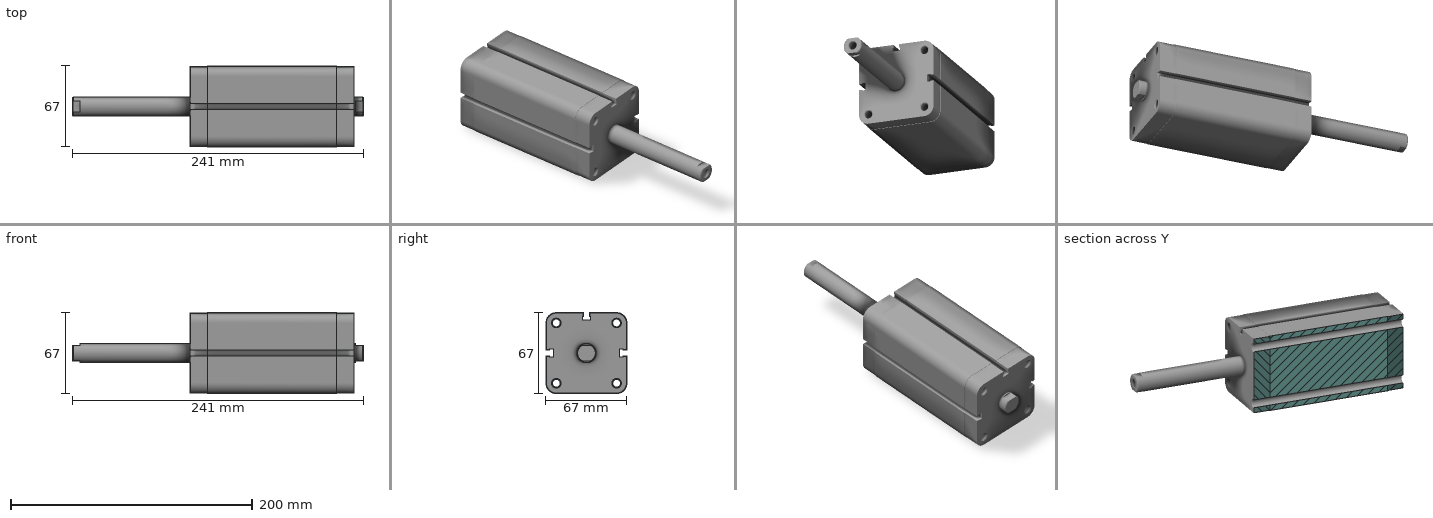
import cadquery as cq

tube_length = 107.0
tube_side = 67.0
cap_length = 14.5
cap_side = 66.4
bolt_spacing = 50.0
bolt_hole_diameter = 6.6
bolt_chamfer = 0.6

slot_mouth_width = 5.2
slot_floor_width = 6.4
slot_floor_from_axis = 27.5
slot_neck_from_axis = 30.5
slot_angles = (-90, 0, 90)

rod_diameter = 16.0
rod_front_reach = 97.4
rod_rear_reach = 7.6
flat_spacing = 13.0
flat_length_front = 6.0
flat_length_rear = 6.5
rod_chamfer = 0.6
thread_diameter = 6.8
thread_mouth_diameter = 8.0
thread_depth = 20.0
drill_tip_length = 1.7

tube_start = -tube_length / 2
tube_end = tube_length / 2
front_face = tube_start - cap_length
rear_face = tube_end + cap_length
rod_start = front_face - rod_front_reach
rod_end = rear_face + rod_rear_reach


def yz_plane(x):
    return cq.Workplane("YZ", origin=(x, 0, 0))


def slot_cutter(x, length):
    """T-shaped bar that cuts one slot opening toward +Z."""
    foot_height = slot_neck_from_axis - slot_floor_from_axis
    floor = cq.Workplane("XY", origin=(x + length / 2, 0, slot_floor_from_axis))
    foot = floor.box(length, slot_floor_width, foot_height, centered=(True, True, False))
    neck = floor.box(length, slot_mouth_width, tube_side / 2, centered=(True, True, False))
    return foot.union(neck)


def profile_block(x, length, side):
    """Rounded square bar with bolt holes, rod bore and three T-slots."""
    corner_radius = (side - bolt_spacing) / 2
    block = yz_plane(x).rect(side, side).extrude(length).edges("|X").fillet(corner_radius)
    bolt_holes = (
        yz_plane(x)
        .rect(bolt_spacing, bolt_spacing, forConstruction=True)
        .vertices()
        .circle(bolt_hole_diameter / 2)
        .extrude(length)
    )
    rod_bore = yz_plane(x).circle(rod_diameter / 2).extrude(length)
    block = block.cut(bolt_holes).cut(rod_bore)
    for angle in slot_angles:
        block = block.cut(slot_cutter(x, length).rotate((0, 0, 0), (1, 0, 0), angle))
    return block


def end_cap(x, outer_face):
    """Profile block whose bolt holes are chamfered on the outer face."""
    cap = profile_block(x, cap_length, cap_side)
    bolt_rims = cap.faces(outer_face).edges(cq.selectors.RadiusNthSelector(0))
    return cap.newObject(bolt_rims.vals()).chamfer(bolt_chamfer)


def rod_flats(x, length):
    """Pair of cutters that leave wrench flats facing +Z and -Z."""
    blank = yz_plane(x).rect(2 * rod_diameter, 2 * rod_diameter).extrude(length)
    kept = yz_plane(x).rect(2 * rod_diameter, flat_spacing).extrude(length)
    return blank.cut(kept)


def piston_rod():
    rod = yz_plane(rod_start).circle(rod_diameter / 2).extrude(rod_end - rod_start)
    rod = rod.faces("<X or >X").chamfer(rod_chamfer)
    rod = rod.cut(rod_flats(rod_start, flat_length_front))
    rod = rod.cut(rod_flats(rod_end - flat_length_rear, flat_length_rear))
    thread_hole = (
        cq.Workplane("XY", origin=(rod_start, 0, 0))
        .polyline([
            (0, 0),
            (0, thread_mouth_diameter / 2),
            ((thread_mouth_diameter - thread_diameter) / 2, thread_diameter / 2),
            (thread_depth, thread_diameter / 2),
            (thread_depth + drill_tip_length, 0),
        ])
        .close()
        .revolve(360, (0, 0, 0), (1, 0, 0))
    )
    return rod.cut(thread_hole)


tube = profile_block(tube_start, tube_length, tube_side)
front_cap = end_cap(front_face, "<X")
rear_cap = end_cap(tube_end, ">X")
rod = piston_rod()
result = cq.Compound.makeCompound([tube.val(), front_cap.val(), rear_cap.val(), rod.val()])